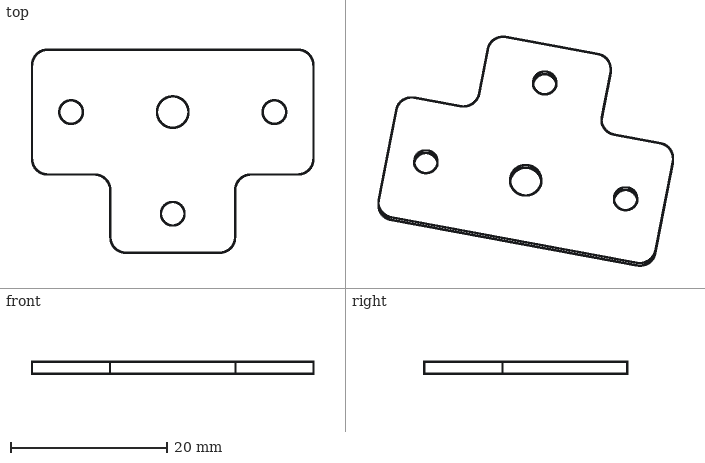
import cadquery as cq

length = 36.0
depth = 26.0
thickness = 1.6
arm_width = 16.0
corner_radius = 2.0

center_hole_diameter = 4.0
outer_hole_diameter = 3.0
hole_spacing = 13.0

half_length = length / 2
half_arm = arm_width / 2
stem_end = half_arm - depth

plate = (
    cq.Workplane("XY")
    .polyline([
        (-half_length, half_arm),
        (half_length, half_arm),
        (half_length, -half_arm),
        (half_arm, -half_arm),
        (half_arm, stem_end),
        (-half_arm, stem_end),
        (-half_arm, -half_arm),
        (-half_length, -half_arm),
    ])
    .close()
    .extrude(thickness)
    .edges("|Z")
    .fillet(corner_radius)
)

outer_hole_centers = [(-hole_spacing, 0), (hole_spacing, 0), (0, -hole_spacing)]
result = (
    plate.faces(">Z")
    .workplane(origin=(0, 0, thickness))
    .hole(center_hole_diameter)
    .faces(">Z")
    .workplane(origin=(0, 0, thickness))
    .pushPoints(outer_hole_centers)
    .hole(outer_hole_diameter)
)